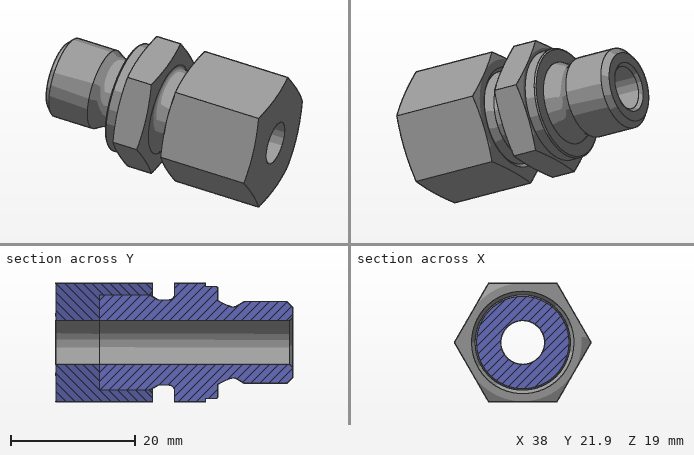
import cadquery as cq
import math


TOTAL_LENGTH = 38.0
COLLAR_START = 12.0
HEX_START = 14.0
HEX_END = 19.0
NUT_START = 22.45

ACROSS_FLATS = 19.0
HEX_FACE_RADIUS = 9.45
HEX_CHAMFER_ANGLE = 15.0

SPIGOT_RADIUS = 6.57
SPIGOT_CHAMFER = 0.95
BORE_RADIUS = 3.5
BORE_CHAMFER = 0.55

GROOVE_CENTRE = 9.58
GROOVE_FLOOR_RADIUS = 5.7
GROOVE_ROUND = 1.15
SPIGOT_SIDE_ANGLE = 30.0
COLLAR_SIDE_ANGLE = 25.0

COLLAR_RADIUS = 9.0
COLLAR_CHAMFER = 0.23

NECK_RADIUS = 6.85
NECK_ROUND = 1.0
NECK_ROUND_LENGTH = 0.9
NECK_END = 21.55
NECK_CONE_ANGLE = 30.0
STUB_RADIUS = 7.65
STUB_DEPTH = 8.55

NUT_MOUTH_RADIUS = 8.2

STUB_START = NECK_END + (STUB_RADIUS - NECK_RADIUS) / math.tan(math.radians(NECK_CONE_ANGLE))
STUB_END = NUT_START + STUB_DEPTH


def cylinder(start, end, radius):
    """Solid cylinder along X."""
    return cq.Workplane("YZ").workplane(offset=start).circle(radius).extrude(end - start)


def countersink(start, end, start_radius, end_radius):
    """Solid cone along X, narrowing from start to end."""
    cone = cq.Solid.makeCone(
        start_radius, end_radius, end - start, cq.Vector(start, 0, 0), cq.Vector(1, 0, 0)
    )
    return cq.Workplane(cone)


def hexagon(start, end):
    """Hexagonal prism along X, flats facing +Z and -Z, with both ends turned to a chamfer."""
    corner_radius = ACROSS_FLATS / 2 / math.cos(math.radians(30))
    chamfer_depth = (corner_radius - HEX_FACE_RADIUS) * math.tan(math.radians(HEX_CHAMFER_ANGLE))
    prism = (
        cq.Workplane("YZ").workplane(offset=start)
        .polygon(6, 2 * corner_radius).extrude(end - start)
    )
    turned_envelope = (
        cq.Workplane("XY")
        .moveTo(start, 0)
        .lineTo(start, HEX_FACE_RADIUS)
        .lineTo(start + chamfer_depth, corner_radius)
        .lineTo(end - chamfer_depth, corner_radius)
        .lineTo(end, HEX_FACE_RADIUS)
        .lineTo(end, 0)
        .close()
        .revolve(360, (0, 0, 0), (1, 0, 0))
    )
    return prism.intersect(turned_envelope)


def groove_point(angle):
    """Point of the groove round whose tangent has this signed angle to the axis."""
    slope = math.radians(angle)
    x = GROOVE_CENTRE + GROOVE_ROUND * math.sin(slope)
    radius = GROOVE_FLOOR_RADIUS + GROOVE_ROUND * (1 - math.cos(slope))
    return x, radius


def make_spigot():
    """Chamfered spigot, rounded groove and collar, turned as one profile."""
    groove_start_x, groove_start_radius = groove_point(-SPIGOT_SIDE_ANGLE)
    groove_end_x, groove_end_radius = groove_point(COLLAR_SIDE_ANGLE)
    spigot_slope = math.tan(math.radians(SPIGOT_SIDE_ANGLE))
    collar_slope = math.tan(math.radians(COLLAR_SIDE_ANGLE))
    spigot_end = groove_start_x - (SPIGOT_RADIUS - groove_start_radius) / spigot_slope
    cone_end_radius = groove_end_radius + (COLLAR_START - groove_end_x) * collar_slope
    return (
        cq.Workplane("XY")
        .moveTo(0, 0)
        .lineTo(0, SPIGOT_RADIUS - SPIGOT_CHAMFER)
        .lineTo(SPIGOT_CHAMFER, SPIGOT_RADIUS)
        .lineTo(spigot_end, SPIGOT_RADIUS)
        .lineTo(groove_start_x, groove_start_radius)
        .threePointArc((GROOVE_CENTRE, GROOVE_FLOOR_RADIUS), (groove_end_x, groove_end_radius))
        .lineTo(COLLAR_START, cone_end_radius)
        .lineTo(COLLAR_START, COLLAR_RADIUS - COLLAR_CHAMFER)
        .lineTo(COLLAR_START + COLLAR_CHAMFER, COLLAR_RADIUS)
        .lineTo(HEX_START, COLLAR_RADIUS)
        .lineTo(HEX_START, 0)
        .close()
        .revolve(360, (0, 0, 0), (1, 0, 0))
    )


def make_neck():
    """Neck with a rounded root at the hexagon, widening by a cone to the stub inside the nut."""
    round_end = HEX_END + NECK_ROUND_LENGTH
    round_centre_radius = NECK_RADIUS + NECK_ROUND
    half_length = NECK_ROUND_LENGTH / 2
    root_radius = round_centre_radius - math.sqrt(NECK_ROUND**2 - NECK_ROUND_LENGTH**2)
    middle_radius = round_centre_radius - math.sqrt(NECK_ROUND**2 - half_length**2)
    return (
        cq.Workplane("XY")
        .moveTo(HEX_END, 0)
        .lineTo(HEX_END, root_radius)
        .threePointArc((round_end - half_length, middle_radius), (round_end, NECK_RADIUS))
        .lineTo(NECK_END, NECK_RADIUS)
        .lineTo(STUB_START, STUB_RADIUS)
        .lineTo(STUB_END, STUB_RADIUS)
        .lineTo(STUB_END, 0)
        .close()
        .revolve(360, (0, 0, 0), (1, 0, 0))
    )


def make_body():
    """Fitting body: spigot, collar, hexagon and neck, bored through and countersunk at the spigot."""
    outside = make_spigot().union(hexagon(HEX_START, HEX_END)).union(make_neck())
    bore = cylinder(0, STUB_END, BORE_RADIUS)
    bore_mouth = countersink(0, BORE_CHAMFER, BORE_RADIUS + BORE_CHAMFER, BORE_RADIUS)
    return outside.cut(bore).cut(bore_mouth)


def make_nut():
    """Union nut: hexagon with a countersunk recess for the stub and the bore carried on to its end."""
    mouth = countersink(NUT_START, STUB_START, NUT_MOUTH_RADIUS, STUB_RADIUS)
    recess = cylinder(NUT_START, STUB_END, STUB_RADIUS)
    end_bore = cylinder(STUB_END, TOTAL_LENGTH, BORE_RADIUS)
    return hexagon(NUT_START, TOTAL_LENGTH).cut(recess).cut(mouth).cut(end_bore)


body = make_body()
nut = make_nut()

result = cq.Compound.makeCompound([body.solids().val(), nut.solids().val()])